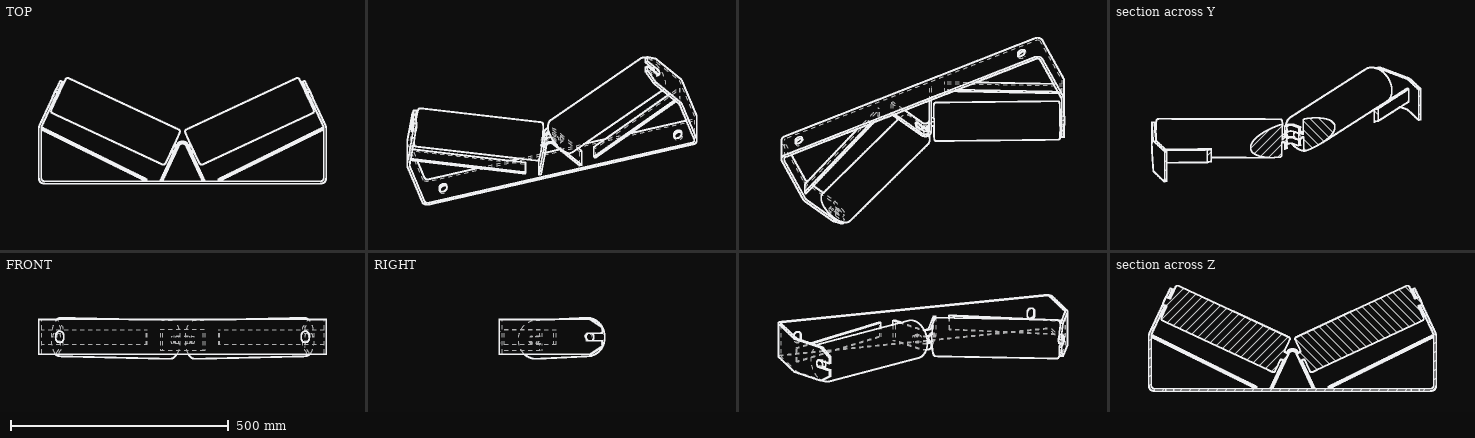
import cadquery as cq
import math


FRAME_LENGTH = 660.0
STRIP_WIDTH = 80.0
STRIP_THICKNESS = 6.0
BEND_RADIUS = 13.0
WING_ANGLE = 25.0
WING_CORNER_Y = 131.0
WING_LENGTH = 117.0
WING_CHAMFER_ALONG = 28.5
WING_CHAMFER_ACROSS = 17.0
MOUNT_SLOT_X = 282.0
MOUNT_SLOT_WIDTH = 18.0
MOUNT_SLOT_HEIGHT = 26.0

ROLLER_DIAMETER = 89.0
ROLLER_LENGTH = 289.0
RIM_RADIUS = 5.0
ROLLER_CENTER_X = 154.0
ROLLER_CENTER_Y = 143.0
ROLLER_CENTER_Z = -3.0
ROLLER_TILT = 1.2
AXLE_DIAMETER = 20.0
AXLE_FLATS = 16.5
AXLE_LENGTH = 310.0
AXLE_CLEARANCE = 0.5

BRACKET_THICKNESS = 4.95
BRACKET_FOOT_X = 51.5
BRACKET_RADIUS = 14.0
BRACKET_WIDTH = 47.5
BRACKET_CENTER_Z = -6.5

STRUT_THICKNESS = 4.95
STRUT_WIDTH = 33.0
STRUT_ANGLE = 26.3
STRUT_TOP_Y = 130.0

HALF_LENGTH = FRAME_LENGTH / 2
SIDE_INNER_X = HALF_LENGTH - STRIP_THICKNESS
WING_SIN = math.sin(math.radians(WING_ANGLE))
WING_COS = math.cos(math.radians(WING_ANGLE))
OPENING_OVERRUN = 13.0
OPENING_LENGTH = 79.0


def extrude_mid(outline, width):
    """Extrude a closed outline in the XY plane so that the solid is centred on Z = 0."""
    return outline.extrude(width).translate((0, 0, -width / 2))


def round_bar(diameter, length):
    """Cylinder along X, centred on the origin."""
    bar = cq.Workplane("YZ").circle(diameter / 2).extrude(length)
    return bar.translate((-length / 2, 0, 0))


def place_on_axis(shape):
    """Move a shape built along X at the origin onto the axis of the roller at negative X."""
    tilted = shape.rotate((0, 0, 0), (0, 1, 0), ROLLER_TILT)
    turned = tilted.rotate((0, 0, 0), (0, 0, 1), -WING_ANGLE)
    return turned.translate((-ROLLER_CENTER_X, ROLLER_CENTER_Y, ROLLER_CENTER_Z))


def mirror_pair(left):
    """Return the body at negative X and its mirror image at positive X."""
    return [left, left.mirror("YZ")]


def axle_bar(diameter, flats, length):
    """Round bar along X with two flats that face +Z and -Z."""
    return round_bar(diameter, length).intersect(cq.Workplane("XY").box(length, diameter, flats))


def axle_openings():
    """Cutters shaped like the axles, each with a channel that lets the axle drop in from +Y."""
    length = AXLE_LENGTH + 2 * OPENING_OVERRUN
    flats = AXLE_FLATS + AXLE_CLEARANCE
    bar = axle_bar(AXLE_DIAMETER + AXLE_CLEARANCE, flats, length)
    channel = cq.Workplane("XY").box(length, OPENING_LENGTH, flats).translate((0, OPENING_LENGTH / 2, 0))
    return mirror_pair(place_on_axis(bar.union(channel)))


def cut_axle_openings(body):
    for opening in axle_openings():
        body = body.cut(opening)
    return body


def wing_outline():
    """Outer line of the frame at negative X, from the wing tip down to the base."""
    tip_x = -HALF_LENGTH + WING_LENGTH * WING_SIN
    tip_y = WING_CORNER_Y + WING_LENGTH * WING_COS
    return [(tip_x, tip_y), (-HALF_LENGTH, WING_CORNER_Y), (-HALF_LENGTH, 0)]


def chamfer_wing_tips(strip):
    """Cut a triangular prism from the two tip corners of each wing."""
    tip_x, tip_y = wing_outline()[0]
    wing_plane = cq.Plane(
        origin=(tip_x, tip_y, 0),
        xDir=(WING_SIN, WING_COS, 0),
        normal=(-WING_COS, WING_SIN, 0),
    )
    for sign in (-1, 1):
        edge = sign * STRIP_WIDTH / 2
        inset = edge - sign * WING_CHAMFER_ACROSS
        triangle = [(0, edge), (-WING_CHAMFER_ALONG, edge), (0, inset)]
        prism = cq.Workplane(wing_plane).polyline(triangle).close().extrude(2 * STRIP_THICKNESS, both=True)
        for cutter in mirror_pair(prism):
            strip = strip.cut(cutter)
    return strip


def make_frame():
    left = wing_outline()
    right = [(-x, y) for x, y in reversed(left)]
    inner_radius = BEND_RADIUS - STRIP_THICKNESS
    corner_drop = STRIP_THICKNESS * math.tan(math.radians(WING_ANGLE / 2))
    inner_corner = (-SIDE_INNER_X, WING_CORNER_Y - corner_drop)
    inner_tip = (left[0][0] + STRIP_THICKNESS * WING_COS, left[0][1] - STRIP_THICKNESS * WING_SIN)
    inner_left = [(-SIDE_INNER_X, STRIP_THICKNESS), inner_corner, inner_tip]
    inner_right = [(-x, y) for x, y in reversed(inner_left)]

    outline = cq.Workplane("XY").polyline(left + right + inner_right + inner_left).close()
    strip = extrude_mid(outline, STRIP_WIDTH)

    for x, y in left[1:] + right[:2]:
        strip = strip.edges(cq.selectors.NearestToPointSelector((x, y, 0))).fillet(BEND_RADIUS)
    for x, y in inner_left[:2] + inner_right[1:]:
        strip = strip.edges(cq.selectors.NearestToPointSelector((x, y, 0))).fillet(inner_radius)

    strip = chamfer_wing_tips(strip)

    mount_slots = (
        cq.Workplane("XZ")
        .pushPoints([(-MOUNT_SLOT_X, 0), (MOUNT_SLOT_X, 0)])
        .slot2D(MOUNT_SLOT_HEIGHT, MOUNT_SLOT_WIDTH, 90)
        .extrude(-STRIP_THICKNESS)
    )
    return cut_axle_openings(strip.cut(mount_slots))


def make_bracket():
    """Bracket with straight legs, tangent to the rounded top, that stand on the base."""
    outer_apex_y = STRIP_THICKNESS + BRACKET_FOOT_X / math.tan(math.radians(WING_ANGLE))
    top_center_y = outer_apex_y - BRACKET_RADIUS / WING_SIN
    inner_radius = BRACKET_RADIUS - BRACKET_THICKNESS
    inner_foot_x = BRACKET_FOOT_X - BRACKET_THICKNESS / WING_COS

    def tangent_point(radius):
        return (radius * WING_COS, top_center_y + radius * WING_SIN)

    outer_x, outer_y = tangent_point(BRACKET_RADIUS)
    inner_x, inner_y = tangent_point(inner_radius)
    outline = (
        cq.Workplane("XY")
        .moveTo(-BRACKET_FOOT_X, STRIP_THICKNESS)
        .lineTo(-outer_x, outer_y)
        .threePointArc((0, top_center_y + BRACKET_RADIUS), (outer_x, outer_y))
        .lineTo(BRACKET_FOOT_X, STRIP_THICKNESS)
        .lineTo(inner_foot_x, STRIP_THICKNESS)
        .lineTo(inner_x, inner_y)
        .threePointArc((0, top_center_y + inner_radius), (-inner_x, inner_y))
        .lineTo(-inner_foot_x, STRIP_THICKNESS)
        .close()
    )
    strip = extrude_mid(outline, BRACKET_WIDTH).translate((0, 0, BRACKET_CENTER_Z))
    return cut_axle_openings(strip)


def make_roller():
    """Roller at negative X, with rounded rims and an axle that sticks out at both ends."""
    drum = round_bar(ROLLER_DIAMETER, ROLLER_LENGTH)
    drum = drum.faces("<X or >X").edges().fillet(RIM_RADIUS)
    return place_on_axis(drum.union(axle_bar(AXLE_DIAMETER, AXLE_FLATS, AXLE_LENGTH)))


def make_strut(frame):
    """Strut at negative X: shaped to the frame at the bend, square-cut where it meets the base."""
    strut_sin = math.sin(math.radians(STRUT_ANGLE))
    strut_cos = math.cos(math.radians(STRUT_ANGLE))
    bottom_y = STRUT_TOP_Y - STRUT_THICKNESS / strut_cos
    lower_length = (bottom_y - STRIP_THICKNESS) / strut_sin
    foot = (-SIDE_INNER_X + lower_length * strut_cos, STRIP_THICKNESS)
    foot_top = (foot[0] + STRUT_THICKNESS * strut_sin, foot[1] + STRUT_THICKNESS * strut_cos)
    outline = [(-SIDE_INNER_X, STRUT_TOP_Y), (-SIDE_INNER_X, bottom_y), foot, foot_top]
    return extrude_mid(cq.Workplane("XY").polyline(outline).close(), STRUT_WIDTH).cut(frame)


frame = make_frame()
bracket = make_bracket()
rollers = mirror_pair(make_roller())
struts = mirror_pair(make_strut(frame))

result = cq.Compound.makeCompound(
    [frame.val(), bracket.val()]
    + [roller.val() for roller in rollers]
    + [strut.val() for strut in struts]
)